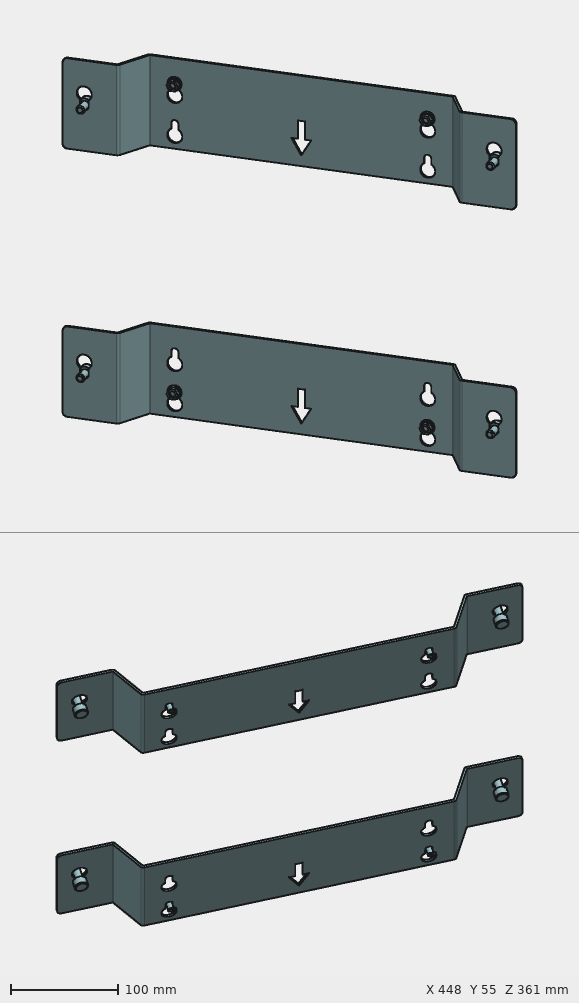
import cadquery as cq
import math

LENGTH = 448.0
HEIGHT = 91.0
PITCH = 270.0
THICKNESS = 2.5
DEPTH = 36.0
BEND_ANGLE = 60.0
FLANGE_BEND_X = 169.0
INNER_BEND_RADIUS = 1.0
CORNER_RADIUS = 5.0

KEYHOLE_DIAMETER = 15.0
KEYHOLE_OFFSET = 12.0
PANEL_HOLE_X = 125.0
PANEL_SLOT_Z = 20.0
PANEL_SLOT_WIDTH = 7.0
FLANGE_HOLE_X = 202.5
FLANGE_SLOT_WIDTH = 9.0

ARROW_LENGTH = 34.5
ARROW_STEM_LENGTH = 18.5
ARROW_STEM_WIDTH = 7.0
ARROW_HEAD_WIDTH = 19.3

BOLT_DIAMETER = 8.0
BOLT_PROTRUSION = 11.5
BOLT_TIP_CHAMFER = 1.5
BOLT_HEAD_DIAMETER = 13.0
BOLT_HEAD_HEIGHT = 8.0
BOLT_HEAD_CHAMFER = 1.0

HEX_SIDES = 6
SCREW_DIAMETER = 6.0
SCREW_PROTRUSION = 7.5
SCREW_TIP_CHAMFER = 1.0
SCREW_HEAD_HEIGHT = 6.5
SCREW_HEX_CORNERS = 11.5
SCREW_SOCKET_CORNERS = 6.5
SCREW_SOCKET_DEPTH = 2.5
SCREW_COLLAR_DIAMETER = 14.0
SCREW_COLLAR_RIM = 1.0
SCREW_COLLAR_HEIGHT = 2.2

flange_front = (BOLT_PROTRUSION - SCREW_PROTRUSION - DEPTH) / 2
flange_back = flange_front + THICKNESS
panel_back = flange_front + DEPTH
panel_front = panel_back - THICKNESS
panel_bend_x = FLANGE_BEND_X - (DEPTH - THICKNESS) / math.tan(math.radians(BEND_ANGLE))


def cylinder_y(diameter, y_start, y_end):
    """Cylinder along Y on the X = Z = 0 axis."""
    return cq.Workplane("XZ", origin=(0, y_start, 0)).circle(diameter / 2).extrude(y_start - y_end)


def bent_strip():
    """Strip with two flanges set forward of the panel, all bends and outer corners rounded."""
    miter = THICKNESS * math.tan(math.radians(BEND_ANGLE / 2))
    end = LENGTH / 2
    front = [
        (-end, flange_front),
        (-FLANGE_BEND_X, flange_front),
        (-panel_bend_x, panel_front),
        (panel_bend_x, panel_front),
        (FLANGE_BEND_X, flange_front),
        (end, flange_front),
    ]
    back = [
        (end, flange_back),
        (FLANGE_BEND_X + miter, flange_back),
        (panel_bend_x + miter, panel_back),
        (-panel_bend_x - miter, panel_back),
        (-FLANGE_BEND_X - miter, flange_back),
        (-end, flange_back),
    ]
    strip = cq.Workplane("XY").polyline(front + back).close().extrude(HEIGHT / 2, both=True)
    strip = strip.edges("|Y").fillet(CORNER_RADIUS)

    outer_radius = INNER_BEND_RADIUS + THICKNESS
    for side in (-1, 1):
        bends = [
            (FLANGE_BEND_X, flange_front, outer_radius),
            (FLANGE_BEND_X + miter, flange_back, INNER_BEND_RADIUS),
            (panel_bend_x, panel_front, INNER_BEND_RADIUS),
            (panel_bend_x + miter, panel_back, outer_radius),
        ]
        for x, y, radius in bends:
            corner = cq.selectors.NearestToPointSelector((side * x, y, 0))
            strip = strip.edges(corner).fillet(radius)
    return strip


def keyhole(slot_width, x, z, hole_offset):
    """Cutter for a keyhole with its slot end at (x, z) and its large hole hole_offset higher."""
    plane = cq.Workplane("XZ", origin=(x, 0, z))
    slot_end = plane.circle(slot_width / 2).extrude(DEPTH, both=True)
    slot = plane.center(0, hole_offset / 2).rect(slot_width, KEYHOLE_OFFSET).extrude(DEPTH, both=True)
    hole = plane.center(0, hole_offset).circle(KEYHOLE_DIAMETER / 2).extrude(DEPTH, both=True)
    return slot_end.union(slot).union(hole)


def arrow():
    """Cutter for the arrow below the bracket centre."""
    stem = ARROW_STEM_WIDTH / 2
    head = ARROW_HEAD_WIDTH / 2
    outline = [
        (-stem, 0),
        (stem, 0),
        (stem, -ARROW_STEM_LENGTH),
        (head, -ARROW_STEM_LENGTH),
        (0, -ARROW_LENGTH),
        (-head, -ARROW_STEM_LENGTH),
        (-stem, -ARROW_STEM_LENGTH),
    ]
    return cq.Workplane("XZ").polyline(outline).close().extrude(DEPTH, both=True)


def make_bracket():
    """Bracket centred on X and Z."""
    bracket = bent_strip().cut(arrow())
    for side in (-1, 1):
        bracket = bracket.cut(keyhole(FLANGE_SLOT_WIDTH, side * FLANGE_HOLE_X, 0, KEYHOLE_OFFSET))
        for z in (-PANEL_SLOT_Z, PANEL_SLOT_Z):
            bracket = bracket.cut(keyhole(PANEL_SLOT_WIDTH, side * PANEL_HOLE_X, z, -KEYHOLE_OFFSET))
    return bracket


def make_bolt():
    """Cylinder-head bolt on the Y axis, its head bearing on the back of a flange."""
    shank = cylinder_y(BOLT_DIAMETER, flange_back, flange_front - BOLT_PROTRUSION)
    shank = shank.faces("<Y").chamfer(BOLT_TIP_CHAMFER)
    head = cylinder_y(BOLT_HEAD_DIAMETER, flange_back, flange_back + BOLT_HEAD_HEIGHT)
    head = head.faces(">Y").chamfer(BOLT_HEAD_CHAMFER)
    return shank.union(head)


def make_screw():
    """Hexagon screw on the Y axis, its conical collar bearing on the front of a panel."""
    shank = cylinder_y(SCREW_DIAMETER, panel_front, panel_back + SCREW_PROTRUSION)
    shank = shank.faces(">Y").chamfer(SCREW_TIP_CHAMFER)
    hexagon = (
        cq.Workplane("XZ", origin=(0, panel_front, 0))
        .polygon(HEX_SIDES, SCREW_HEX_CORNERS)
        .extrude(SCREW_HEAD_HEIGHT)
    )
    socket = (
        cq.Workplane("XZ", origin=(0, panel_front - SCREW_HEAD_HEIGHT, 0))
        .polygon(HEX_SIDES, SCREW_SOCKET_CORNERS)
        .extrude(-SCREW_SOCKET_DEPTH)
    )
    rim_y = panel_front - SCREW_COLLAR_RIM
    collar_profile = [
        (0, panel_front),
        (SCREW_COLLAR_DIAMETER / 2, panel_front),
        (SCREW_COLLAR_DIAMETER / 2, rim_y),
        (SCREW_HEX_CORNERS / 2, panel_front - SCREW_COLLAR_HEIGHT),
        (0, panel_front - SCREW_COLLAR_HEIGHT),
    ]
    collar_face = cq.Workplane("XY").polyline(collar_profile).close()
    collar = collar_face.revolve(axisStart=(0, 0, 0), axisEnd=(0, 1, 0))
    return shank.union(hexagon).union(collar).cut(socket)


bracket = make_bracket()
bolt = make_bolt()
screw = make_screw()

brackets = []
bolts = []
screws = []
for level in (-1, 1):
    bracket_z = level * PITCH / 2
    brackets.append(bracket.translate((0, 0, bracket_z)).val())
    for side in (-1, 1):
        bolts.append(bolt.translate((side * FLANGE_HOLE_X, 0, bracket_z)).val())
        screw_z = bracket_z + level * PANEL_SLOT_Z
        screws.append(screw.translate((side * PANEL_HOLE_X, 0, screw_z)).val())

result = cq.Compound.makeCompound([*brackets, *bolts, *screws])